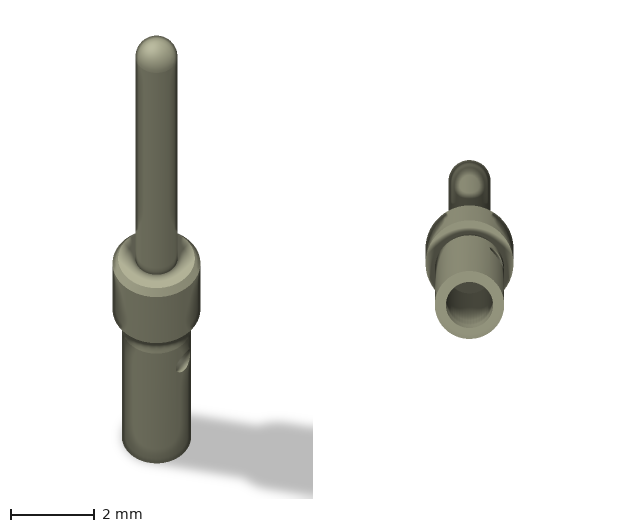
import cadquery as cq

total_length = 14.8

pin_diameter = 1.0
collar_diameter = 2.1
neck_diameter = 1.45
barrel_diameter = 1.66
bore_diameter = 1.12
side_hole_diameter = 0.6

barrel_top = 4.13
taper_top = 4.66
collar_bottom = 4.8
collar_top = 6.7
side_hole_height = 3.4

collar_chamfer_width = 0.13
collar_chamfer_height = 0.18
bore_depth = 4.0

pin_radius = pin_diameter / 2
collar_radius = collar_diameter / 2
neck_radius = neck_diameter / 2
barrel_radius = barrel_diameter / 2


def turned_body():
    """Solid contact: barrel, tapered neck, collar and pin with a hemispherical tip."""
    tip_base = total_length - pin_radius
    arc_offset = pin_radius / 2**0.5
    profile = (
        cq.Workplane("XZ")
        .lineTo(barrel_radius, 0)
        .lineTo(barrel_radius, barrel_top)
        .lineTo(neck_radius, taper_top)
        .lineTo(neck_radius, collar_bottom)
        .lineTo(collar_radius, collar_bottom)
        .lineTo(collar_radius, collar_top - collar_chamfer_height)
        .lineTo(collar_radius - collar_chamfer_width, collar_top)
        .lineTo(pin_radius, collar_top)
        .lineTo(pin_radius, tip_base)
        .threePointArc((arc_offset, tip_base + arc_offset), (0, total_length))
        .close()
    )
    return profile.revolve(360, (0, 0, 0), (0, 1, 0))


def wire_bore():
    """Blind bore rising from the barrel end."""
    return cq.Workplane("XY").circle(bore_diameter / 2).extrude(bore_depth)


def side_hole():
    """Inspection hole from the bore out through the +X wall only."""
    return (
        cq.Workplane("YZ")
        .center(0, side_hole_height)
        .circle(side_hole_diameter / 2)
        .extrude(barrel_diameter)
    )


result = turned_body().cut(wire_bore()).cut(side_hole())